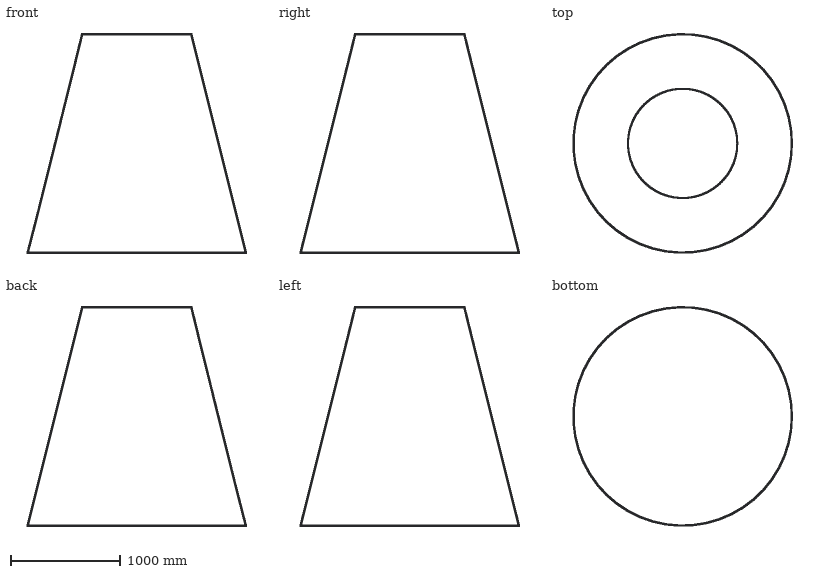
import cadquery as cq

base_diameter = 2000.0
top_diameter = 1000.0
height = 2000.0


def truncated_cone(bottom_radius, top_radius, cone_height):
    """Solid frustum standing on the XY plane, its axis along Z."""
    half_section = (
        cq.Workplane("XZ")
        .lineTo(bottom_radius, 0)
        .lineTo(top_radius, cone_height)
        .lineTo(0, cone_height)
        .close()
    )
    return half_section.revolve(360, (0, 0), (0, 1))


result = truncated_cone(base_diameter / 2, top_diameter / 2, height)